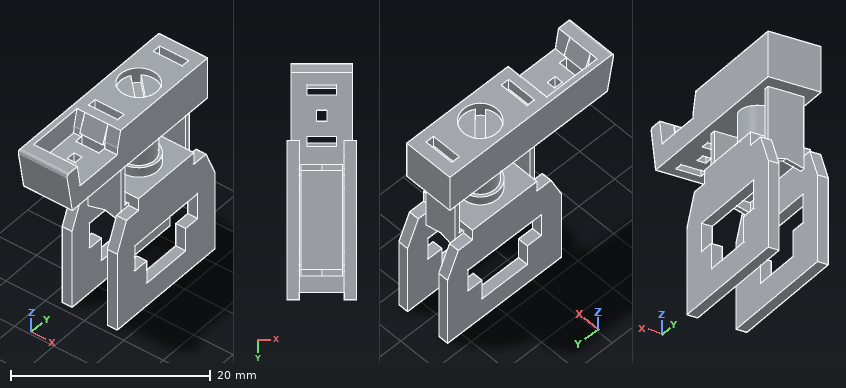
import cadquery as cq
import math


BRACKET_WIDTH = 7.0
BRACKET_HALF_LENGTH = 8.0
LEG_THICKNESS = 1.27
SHOULDER_HALF_LENGTH = 6.5
SHOULDER_Z = 13.45
LEG_TAPER_START_Z = 10.0
BRIDGE_HALF_LENGTH = 4.52
BRIDGE_TOP_Z = 14.99
BRIDGE_BOTTOM_Z = 13.72

WINDOW_TOP_Z = 9.17
WINDOW_STEP_Z = 5.9
WINDOW_BOTTOM_Z = 2.95
WINDOW_HALF_LENGTH = 5.13
WINDOW_NARROW_HALF_LENGTH = 3.18

CAP_WIDTH = 6.2
CAP_TOP_Z = 25.4
CAP_BOTTOM_Z = 20.15
CAP_BACK_Y = 7.3
CAP_FRONT_Y = -15.75
CAP_RAKE_ANGLE = 10
CAP_EDGE_RADIUS = 0.3

POCKET_WIDTH = 3.68
POCKET_LENGTH = 1.05
POCKET_DEPTH = 1.52

SHAFT_RADIUS = 2.03
COLLAR_RADIUS = 2.4
COLLAR_TOP_Z = 16.23
HEAD_RADIUS = 2.29
HEAD_RECESS_DEPTH = 0.9
DRIVER_SLOT_WIDTH = 1.05
DRIVER_SLOT_DEPTH = 1.02
DRIVER_SLOT_ANGLE = -45

GUIDE_WIDTH = 4.2
GUIDE_THICKNESS = 0.64
GUIDE_HALF_LENGTH = 5.6
GUIDE_BOTTOM_Z = 11.85
GUIDE_NOTCH_HEIGHT = 0.55

TRAY_LEFT_X = -2.45
TRAY_CENTRE_Y = -10.46
TRAY_TOP_HALF_LENGTH = 3.53
TRAY_FRONT_SETBACK = 0.45
TRAY_BEND_SETBACK = 0.48
TRAY_BACK_SETBACK = 0.55
TRAY_BEND_DEPTH = 2.03
TRAY_DEPTH = 2.85

HOOK_WIDTH = 2.95
HOOK_TIP_HALF_LENGTH = 2.72
HOOK_HEIGHT = 2.24
SLOT_OUTER_HALF_LENGTH = 3.1
SLOT_INNER_HALF_LENGTH = 2.08
TRAY_HOLE_WIDTH = 1.02
TRAY_HOLE_LENGTH = 1.1

CAP_HEIGHT = CAP_TOP_Z - CAP_BOTTOM_Z


def box_between(x_range, y_range, z_range):
    """Axis-aligned box given by its limits along X, Y and Z."""
    size = [high - low for low, high in (x_range, y_range, z_range)]
    corner = (x_range[0], y_range[0], z_range[0])
    return cq.Workplane("XY").box(*size, centered=False).translate(corner)


def extrude_along_x(points, width, centre_x=0):
    """Solid with a YZ outline and a width along X, centred on centre_x."""
    profile = cq.Workplane("YZ").polyline(points).close()
    return profile.extrude(width / 2, both=True).translate((centre_x, 0, 0))


def mirrored_outline(half_points):
    """Closed outline from its +Y half, listed from bottom to top."""
    return half_points + [(-y, z) for y, z in reversed(half_points)]


def make_bracket():
    outline = mirrored_outline([
        (BRACKET_HALF_LENGTH, 0),
        (BRACKET_HALF_LENGTH, LEG_TAPER_START_Z),
        (SHOULDER_HALF_LENGTH, SHOULDER_Z),
        (BRIDGE_HALF_LENGTH, SHOULDER_Z),
        (BRIDGE_HALF_LENGTH, BRIDGE_TOP_Z),
    ])
    window = mirrored_outline([
        (WINDOW_NARROW_HALF_LENGTH, WINDOW_BOTTOM_Z),
        (WINDOW_NARROW_HALF_LENGTH, WINDOW_STEP_Z),
        (WINDOW_HALF_LENGTH, WINDOW_STEP_Z),
        (WINDOW_HALF_LENGTH, WINDOW_TOP_Z),
    ])
    half_gap = BRACKET_WIDTH / 2 - LEG_THICKNESS
    gap = box_between(
        (-half_gap, half_gap),
        (-BRACKET_HALF_LENGTH, BRACKET_HALF_LENGTH),
        (0, BRIDGE_BOTTOM_Z),
    )
    bracket = extrude_along_x(outline, BRACKET_WIDTH)
    return bracket.cut(extrude_along_x(window, BRACKET_WIDTH)).cut(gap)


def make_guide():
    inner_half_length = GUIDE_HALF_LENGTH - GUIDE_THICKNESS
    half_width = GUIDE_WIDTH / 2
    guide = box_between(
        (-half_width, half_width),
        (-GUIDE_HALF_LENGTH, GUIDE_HALF_LENGTH),
        (GUIDE_BOTTOM_Z, CAP_BOTTOM_Z),
    )
    web_bottom_z = BRIDGE_BOTTOM_Z - GUIDE_THICKNESS
    for z_range in ((GUIDE_BOTTOM_Z, web_bottom_z), (BRIDGE_BOTTOM_Z, CAP_BOTTOM_Z)):
        guide = guide.cut(box_between(
            (-half_width, half_width),
            (-inner_half_length, inner_half_length),
            z_range,
        ))
    notch = (
        cq.Workplane("XZ")
        .polyline([
            (-half_width, GUIDE_BOTTOM_Z),
            (0, GUIDE_BOTTOM_Z + GUIDE_NOTCH_HEIGHT),
            (half_width, GUIDE_BOTTOM_Z),
        ])
        .close()
        .extrude(GUIDE_HALF_LENGTH, both=True)
    )
    return guide.cut(notch)


def make_screw_shaft():
    shaft = cq.Workplane("XY").workplane(offset=BRIDGE_TOP_Z)
    collar = shaft.circle(COLLAR_RADIUS).extrude(COLLAR_TOP_Z - BRIDGE_TOP_Z)
    return shaft.circle(SHAFT_RADIUS).extrude(CAP_BOTTOM_Z - BRIDGE_TOP_Z).union(collar)


def make_cap_block():
    rake_setback = CAP_HEIGHT * math.tan(math.radians(CAP_RAKE_ANGLE))
    outline = [
        (CAP_BACK_Y, CAP_BOTTOM_Z),
        (CAP_BACK_Y, CAP_TOP_Z),
        (CAP_FRONT_Y, CAP_TOP_Z),
        (CAP_FRONT_Y + rake_setback, CAP_BOTTOM_Z),
    ]
    block = extrude_along_x(outline, CAP_WIDTH)
    return block.faces(">Z").edges("<Y").fillet(CAP_EDGE_RADIUS)


def cut_screw_head(cap):
    """Sink the slotted screw head below the cap top."""
    head_z = CAP_TOP_Z - HEAD_RECESS_DEPTH
    head_disc = cq.Workplane("XY").workplane(offset=head_z).circle(HEAD_RADIUS)
    slot_bottom = cq.Workplane("XY").workplane(offset=head_z - DRIVER_SLOT_DEPTH)
    driver_slot = (
        slot_bottom
        .rect(2 * HEAD_RADIUS, DRIVER_SLOT_WIDTH)
        .extrude(DRIVER_SLOT_DEPTH)
        .rotate((0, 0, 0), (0, 0, 1), DRIVER_SLOT_ANGLE)
        .intersect(slot_bottom.circle(HEAD_RADIUS).extrude(DRIVER_SLOT_DEPTH))
    )
    return cap.cut(head_disc.extrude(HEAD_RECESS_DEPTH)).cut(driver_slot)


def cut_pockets(cap):
    """Cut the two blind pockets above the guide plates."""
    pocket_y = GUIDE_HALF_LENGTH - GUIDE_THICKNESS / 2
    pockets = (
        cq.Workplane("XY")
        .workplane(offset=CAP_TOP_Z - POCKET_DEPTH)
        .pushPoints([(0, pocket_y), (0, -pocket_y)])
        .rect(POCKET_WIDTH, POCKET_LENGTH)
        .extrude(POCKET_DEPTH)
    )
    return cap.cut(pockets)


def cut_label_tray(cap):
    """Sink the tray, add its snap hooks and cut the openings in its floor."""
    bend_z = CAP_TOP_Z - TRAY_BEND_DEPTH
    floor_z = CAP_TOP_Z - TRAY_DEPTH
    tray_outline = [
        (-TRAY_TOP_HALF_LENGTH, CAP_TOP_Z),
        (-TRAY_TOP_HALF_LENGTH + TRAY_FRONT_SETBACK, floor_z),
        (TRAY_TOP_HALF_LENGTH - TRAY_BACK_SETBACK, floor_z),
        (TRAY_TOP_HALF_LENGTH - TRAY_BEND_SETBACK, bend_z),
        (TRAY_TOP_HALF_LENGTH, CAP_TOP_Z),
    ]
    tray_width = CAP_WIDTH / 2 - TRAY_LEFT_X
    tray = extrude_along_x(tray_outline, tray_width, TRAY_LEFT_X + tray_width / 2)
    cap = cap.cut(tray.translate((0, TRAY_CENTRE_Y, 0)))

    hook_bottom_z = CAP_TOP_Z - HOOK_HEIGHT
    for side in (-1, 1):
        hook = extrude_along_x([
            (side * TRAY_TOP_HALF_LENGTH, CAP_TOP_Z),
            (side * HOOK_TIP_HALF_LENGTH, hook_bottom_z),
            (side * TRAY_TOP_HALF_LENGTH, hook_bottom_z),
        ], HOOK_WIDTH)
        slot = box_between(
            (-HOOK_WIDTH / 2, HOOK_WIDTH / 2),
            sorted((side * SLOT_INNER_HALF_LENGTH, side * SLOT_OUTER_HALF_LENGTH)),
            (CAP_BOTTOM_Z, hook_bottom_z),
        )
        cap = cap.union(hook.translate((0, TRAY_CENTRE_Y, 0)))
        cap = cap.cut(slot.translate((0, TRAY_CENTRE_Y, 0)))

    hole = (
        cq.Workplane("XY")
        .workplane(offset=CAP_BOTTOM_Z)
        .center(0, TRAY_CENTRE_Y)
        .rect(TRAY_HOLE_WIDTH, TRAY_HOLE_LENGTH)
        .extrude(CAP_HEIGHT)
    )
    return cap.cut(hole)


cap = cut_label_tray(cut_pockets(cut_screw_head(make_cap_block())))
result = make_bracket().union(make_guide()).union(make_screw_shaft()).union(cap)